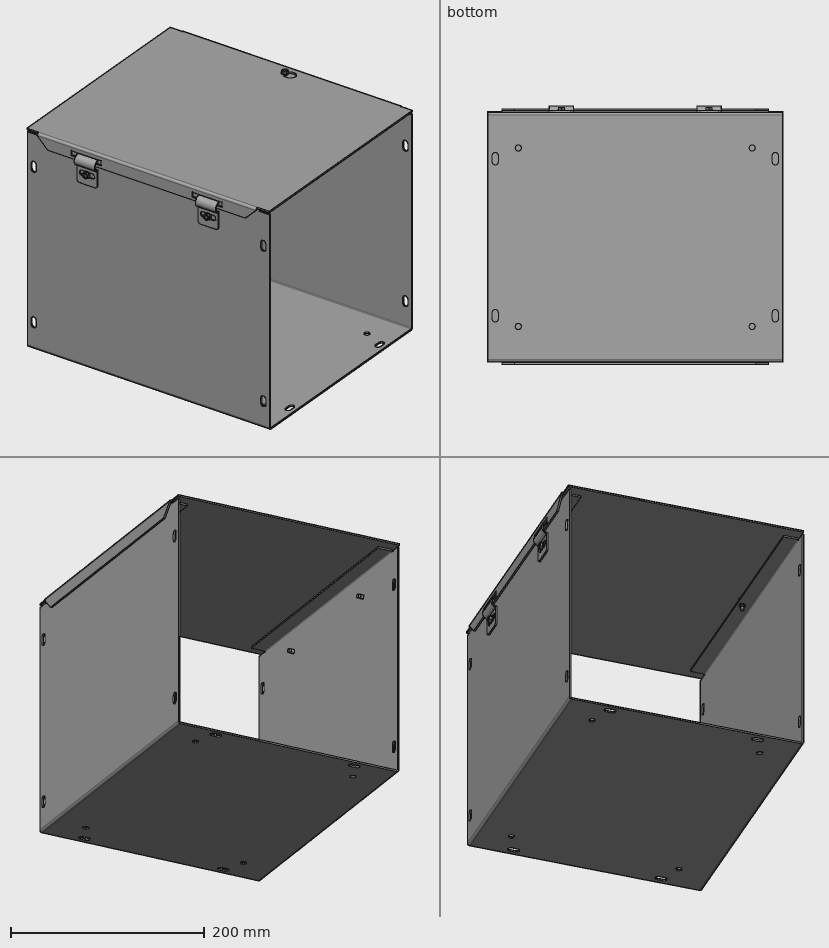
import cadquery as cq

sheet = 1.9
bend_inside = 0.79
bend_outside = bend_inside + sheet

length = 304.8
clear_opening = 254.0
depth = clear_opening + 2 * sheet
height = clear_opening + 2 * sheet
flange_reach = 17.5
flange_end_gap = 12.7
flange_length = length - 2 * flange_end_gap
front_y = -depth / 2
back_y = depth / 2

slot_width = 6.35
slot_length = 12.7
slot_edge_distance = 7.94
wall_slot_low_z = 31.75
wall_slot_spacing = 184.15
floor_slot_spacing = 162.0
floor_hole_diameter = 6.35
floor_hole_end_distance = 31.75
floor_hole_spacing = 184.15

clip_spacing = 152.4
clip_width = 25.4
clip_thickness = 1.6
clip_bottom_z = 217.1
clip_corner_radius = 3.175
clip_slot_length = 19.05
hook_radius = 6.6
hook_z = 243.55

lid_top_z = height + sheet
lid_back_gap = 0.54
lid_flange_height = 15.875
lid_flange_base_gap = 14.8
lid_flange_tip_gap = lid_flange_base_gap + lid_flange_height - bend_outside
lid_front_y = front_y - clip_thickness - sheet
lid_back_y = back_y + lid_back_gap + sheet
lid_bottom_z = lid_top_z - lid_flange_height
latch_slit_length = 38.1
latch_slit_height = 5.9
latch_slit_z = 250.0
keyhole_diameter = 12.7
keyhole_x = 6.6

shank_diameter = 4.59
shank_length = 9.525
tip_diameter = 4.09
tip_length = 2.6
washer_diameter = 7.94
washer_thickness = 0.8
hex_across_flats = 6.35
head_height = 3.37
head_recess_diameter = 4.0
head_recess_depth = 0.5
clip_screw_z = 229.6
lid_screw_inset = 11.7
lid_screw_y = back_y - lid_screw_inset
collar_diameter = 6.35
collar_height = 1.4

quarter_turn = 90
hex_sides = 6
clip_positions = (-clip_spacing / 2, clip_spacing / 2)


def block(x_range, y_range, z_range):
    """Axis-aligned box between the given limits."""
    corner = (x_range[0], y_range[0], z_range[0])
    size = (x_range[1] - x_range[0], y_range[1] - y_range[0], z_range[1] - z_range[0])
    return cq.Workplane("XY").box(*size, centered=False).translate(corner)


def bent_tube(y_range, z_range):
    """Closed sheet tube along X with rounded bends at its four long edges."""
    half = length / 2
    outer = block((-half, half), y_range, z_range).edges("|X").fillet(bend_outside)
    inner_y = (y_range[0] + sheet, y_range[1] - sheet)
    inner_z = (z_range[0] + sheet, z_range[1] - sheet)
    inner = block((-half, half), inner_y, inner_z).edges("|X").fillet(bend_inside)
    return outer.cut(inner)


def across_y(x, z):
    """Sketch plane at the middle of the depth, facing -Y."""
    return cq.Workplane("XZ", origin=(x, 0, z))


def make_housing():
    body = bent_tube((front_y, back_y), (0, height))

    opening_y = depth / 2 - flange_reach
    body = body.cut(block((-length / 2, length / 2), (-opening_y, opening_y), (height / 2, height)))

    for x_range in ((-length / 2, -flange_length / 2), (flange_length / 2, length / 2)):
        body = body.cut(block(x_range, (front_y, back_y), (height - bend_outside, height)))

    slot_x = length - 2 * slot_edge_distance
    wall_slots = (
        across_y(0, wall_slot_low_z + wall_slot_spacing / 2)
        .rarray(slot_x, wall_slot_spacing, 2, 2)
        .slot2D(slot_length, slot_width, quarter_turn)
        .extrude(depth, both=True)
    )
    body = body.cut(wall_slots)

    floor_slots = (
        cq.Workplane("XY")
        .rarray(slot_x, floor_slot_spacing, 2, 2)
        .slot2D(slot_length, slot_width, quarter_turn)
        .extrude(sheet)
    )
    floor_holes = (
        cq.Workplane("XY")
        .rarray(length - 2 * floor_hole_end_distance, floor_hole_spacing, 2, 2)
        .circle(floor_hole_diameter / 2)
        .extrude(sheet)
    )
    body = body.cut(floor_slots).cut(floor_holes)

    collar_bottom = cq.Workplane("XY", origin=(0, lid_screw_y, height - sheet - collar_height))
    collar = collar_bottom.circle(collar_diameter / 2).extrude(collar_height)
    lid_screw_hole = collar_bottom.circle(shank_diameter / 2).extrude(collar_height + sheet)
    body = body.union(collar).cut(lid_screw_hole)

    for x in clip_positions:
        hole = across_y(x, clip_screw_z).circle(shank_diameter / 2).extrude(depth)
        body = body.cut(hole)
    return body


def make_lid():
    tube_bottom_z = lid_bottom_z - 2 * bend_outside
    body = bent_tube((lid_front_y, lid_back_y), (tube_bottom_z, lid_top_z))
    y_range = (lid_front_y, lid_back_y)
    body = body.cut(block((-length / 2, length / 2), y_range, (tube_bottom_z, lid_bottom_z)))

    base_x = length / 2 - lid_flange_base_gap
    tip_x = length / 2 - lid_flange_tip_gap
    flange_zones = (
        (lid_front_y, lid_front_y + bend_outside),
        (lid_back_y - bend_outside, lid_back_y),
    )
    for near_y, far_y in flange_zones:
        for side in (-1, 1):
            corner = (
                cq.Workplane("XZ", origin=(0, far_y, 0))
                .moveTo(side * length / 2, lid_top_z)
                .lineTo(side * base_x, lid_top_z)
                .lineTo(side * base_x, lid_top_z - bend_outside)
                .lineTo(side * tip_x, lid_bottom_z)
                .lineTo(side * length / 2, lid_bottom_z)
                .close()
                .extrude(far_y - near_y)
            )
            body = body.cut(corner)

    for x in clip_positions:
        slit = across_y(x, latch_slit_z).rect(latch_slit_length, latch_slit_height).extrude(depth)
        body = body.cut(slit)

    keyhole = (
        cq.Workplane("XY", origin=(0, lid_screw_y, height))
        .center(keyhole_x, 0)
        .circle(keyhole_diameter / 2)
        .extrude(sheet)
    )
    keyhole_slot = (
        cq.Workplane("XY", origin=(keyhole_x / 2, lid_screw_y, height))
        .slot2D(keyhole_x + shank_diameter, shank_diameter)
        .extrude(sheet)
    )
    return body.cut(keyhole).cut(keyhole_slot)


def make_clip(x):
    """Plate on the front wall with a half-round hook that reaches into the lid slit."""
    inner_radius = hook_radius - clip_thickness
    hook = (
        cq.Workplane("YZ", origin=(x - clip_width / 2, front_y, hook_z))
        .moveTo(0, hook_radius)
        .threePointArc((-hook_radius, 0), (0, -hook_radius))
        .lineTo(0, -inner_radius)
        .threePointArc((-inner_radius, 0), (0, inner_radius))
        .close()
        .extrude(clip_width)
    )
    plate = block(
        (x - clip_width / 2, x + clip_width / 2),
        (front_y - clip_thickness, front_y),
        (clip_bottom_z, hook_z - inner_radius),
    )
    plate = plate.edges("|Y and <Z").fillet(clip_corner_radius)
    slot = across_y(x, clip_screw_z).slot2D(clip_slot_length, slot_width).extrude(depth)
    return plate.union(hook).cut(slot)


def make_screw():
    """Hex washer head screw along Z, stepped to a thinner tip, underside of its head at the origin."""
    washer = cq.Workplane("XY").circle(washer_diameter / 2).extrude(washer_thickness)
    hexagon = cq.Workplane("XY").polygon(hex_sides, hex_across_flats, circumscribed=True)
    hexagon = hexagon.extrude(head_height)
    recess = cq.Workplane("XY", origin=(0, 0, head_height)).circle(head_recess_diameter / 2)
    hexagon = hexagon.cut(recess.extrude(-head_recess_depth))
    shank = cq.Workplane("XY").circle(shank_diameter / 2).extrude(tip_length - shank_length)
    tip = shank.faces("<Z").workplane().circle(tip_diameter / 2).extrude(tip_length)
    return washer.union(hexagon).union(tip)


housing = make_housing()
lid = make_lid()
clips = [make_clip(x) for x in clip_positions]

lid_screw = make_screw().translate((0, lid_screw_y, lid_top_z))
clip_screw = make_screw().rotate((0, 0, 0), (1, 0, 0), quarter_turn)
clip_screws = [clip_screw.translate((x, front_y - clip_thickness, clip_screw_z)) for x in clip_positions]

bodies = [housing, lid, *clips, lid_screw, *clip_screws]
result = cq.Compound.makeCompound([body.solids().val() for body in bodies])